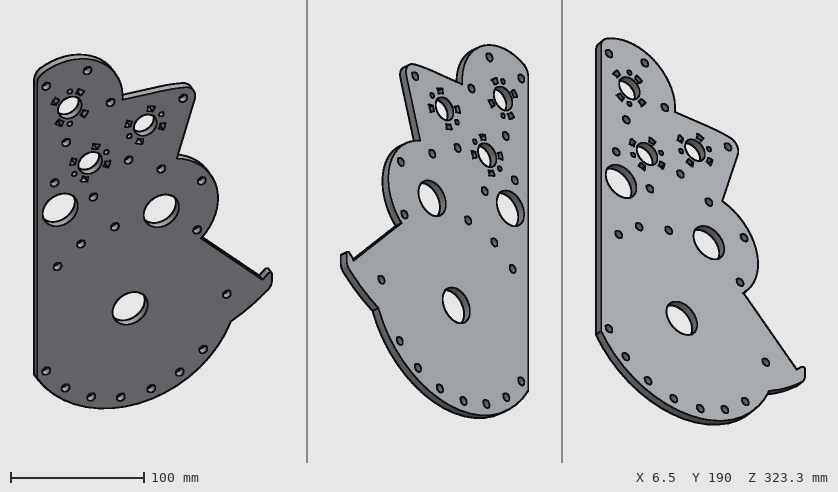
import cadquery as cq
import math

THICKNESS = 6.5
WIDTH = 190.0
HEIGHT = 323.3

BASE_RADIUS = 87.5
BASE_CENTER = (75.3, BASE_RADIUS)
SIDE_RADIUS = 46.0
SIDE_CENTER = (100.5, 169.0)
TOP_RADIUS = 42.7
TOP_CENTER = (26.5, HEIGHT - TOP_RADIUS)
TOP_CORNER_FILLET = 10.7

SHOULDER_Z = 277.0
BLEND_START_Y = 101.0
CORNER_CENTER = (118.3, 266.0)
CORNER_RADIUS = 9.7
FLANK_TILT = 16.2

NOTCH = (182.3, 86.5)
HOOK_TIP = (187.0, 91.2)
HOOK_SIDE_TOP_Z = 89.2
HOOK_SIDE_BOTTOM_Z = 84.0
HOOK_KNEE = (185.5, 75.5)
HOOK_BELLY = (172.0, 64.5)
HOOK_ROOT_ANGLE = -21.5

SHAFT_DIAMETER = 28.5
SHAFT_CENTERS = [BASE_CENTER, SIDE_CENTER, (18.7, 190.5)]

BOLT_DIAMETER = 6.5
BASE_BOLT_RADIUS = 78.5
BASE_BOLT_FIRST_ANGLE = -149.8
BASE_BOLT_STEP = 18.1
BASE_BOLT_POSITIONS = [0, 1, 2, 3, 4, 5, 6, 8]
SIDE_BOLT_RADIUS = 37.8
SIDE_BOLT_ANGLES = [-40, 30, 90, 187.5]
LOOSE_BOLTS = [
    CORNER_CENTER,
    (40.7, 310.5),
    (7.5, 304.5),
    (59.5, 277.0),
    (23.5, 250.0),
    (74.0, 221.5),
    (14.2, 216.0),
    (45.5, 195.3),
    (35.5, 155.5),
    (16.5, 140.0),
]

MOTOR_MOUNTS = [
    (TOP_CENTER, 19.0, 90, 55),
    ((87.5, 249.5), 18.5, 27, 72),
    ((43.0, 226.5), 19.0, 27, 72),
]
PIN_DIAMETER = 4.0
PIN_RADIUS = 14.5
PIN_COUNT = 2
SLOT_COUNT = 4
SLOT_INNER_RADIUS = 12.3
SLOT_OUTER_RADIUS = 16.5
SLOT_SPREAD = 21.0


def polar(center, radius, angle):
    """Point at a given radius and angle (degrees) around a center."""
    turn = math.radians(angle)
    return (center[0] + radius * math.cos(turn), center[1] + radius * math.sin(turn))


def sketch_plane():
    return cq.Workplane("YZ")


def disk(center, radius):
    return sketch_plane().center(*center).circle(radius).extrude(THICKNESS)


def main_body():
    """Base lobe, hook and shoulder, reaching into the side and top lobes."""
    run = CORNER_CENTER[0] - BLEND_START_Y
    drop = SHOULDER_Z - CORNER_CENTER[1]
    blend_radius = (run**2 + drop**2 - CORNER_RADIUS**2) / (2 * (drop - CORNER_RADIUS))
    blend_center = (BLEND_START_Y, SHOULDER_Z - blend_radius)
    blend_end_angle = math.degrees(math.atan2(blend_radius - drop, run))
    blend_middle_angle = (90 + blend_end_angle) / 2
    corner_middle_angle = (blend_end_angle - FLANK_TILT) / 2
    flank_start = polar(CORNER_CENTER, CORNER_RADIUS, -FLANK_TILT)
    flank_drop = flank_start[1] - SIDE_CENTER[1]
    flank_end = (flank_start[0] - flank_drop * math.tan(math.radians(FLANK_TILT)), SIDE_CENTER[1])

    slope_rise = SIDE_CENTER[1] - SIDE_RADIUS / 2 - NOTCH[1]
    slope_top = (NOTCH[0] - slope_rise, NOTCH[1] + slope_rise)

    hook_root = polar(BASE_CENTER, BASE_RADIUS, HOOK_ROOT_ANGLE)
    base_corner_z = BASE_CENTER[1] - math.sqrt(BASE_RADIUS**2 - BASE_CENTER[0] ** 2)

    return (
        sketch_plane()
        .moveTo(0, base_corner_z)
        .lineTo(0, TOP_CENTER[1])
        .lineTo(*TOP_CENTER)
        .lineTo(TOP_CENTER[0], SHOULDER_Z)
        .lineTo(BLEND_START_Y, SHOULDER_Z)
        .threePointArc(
            polar(blend_center, blend_radius, blend_middle_angle),
            polar(CORNER_CENTER, CORNER_RADIUS, blend_end_angle),
        )
        .threePointArc(polar(CORNER_CENTER, CORNER_RADIUS, corner_middle_angle), flank_start)
        .lineTo(*flank_end)
        .lineTo(*slope_top)
        .lineTo(*NOTCH)
        .lineTo(*HOOK_TIP)
        .tangentArcPoint((WIDTH, HOOK_SIDE_TOP_Z), relative=False)
        .lineTo(WIDTH, HOOK_SIDE_BOTTOM_Z)
        .tangentArcPoint(HOOK_KNEE, relative=False)
        .threePointArc(HOOK_BELLY, hook_root)
        .threePointArc(polar(BASE_CENTER, BASE_RADIUS, -90), (0, base_corner_z))
        .close()
        .extrude(THICKNESS)
    )


def plate():
    """Solid outline: main body with the two lobes, trimmed flat along y = 0."""
    body = main_body()
    body = body.union(disk(SIDE_CENTER, SIDE_RADIUS))
    body = body.union(disk(TOP_CENTER, TOP_RADIUS))
    envelope = sketch_plane().rect(WIDTH, HEIGHT, centered=False).extrude(THICKNESS)
    body = body.intersect(envelope).clean()

    corner_z = TOP_CENTER[1] + math.sqrt(TOP_RADIUS**2 - TOP_CENTER[0] ** 2)
    top_corner = cq.selectors.NearestToPointSelector((THICKNESS / 2, 0, corner_z))
    return body.edges("|X").edges(top_corner).fillet(TOP_CORNER_FILLET)


def round_holes(centers, diameter):
    return sketch_plane().pushPoints(centers).circle(diameter / 2).extrude(THICKNESS)


def bolt_centers():
    base_bolts = [
        polar(BASE_CENTER, BASE_BOLT_RADIUS, BASE_BOLT_FIRST_ANGLE + BASE_BOLT_STEP * position)
        for position in BASE_BOLT_POSITIONS
    ]
    side_bolts = [polar(SIDE_CENTER, SIDE_BOLT_RADIUS, angle) for angle in SIDE_BOLT_ANGLES]
    return base_bolts + side_bolts + LOOSE_BOLTS


def ring_slot(center, angle):
    """Cutter for a slot shaped as a piece of a ring, centered on the given angle."""
    start = angle - SLOT_SPREAD / 2
    end = angle + SLOT_SPREAD / 2
    return (
        sketch_plane()
        .moveTo(*polar(center, SLOT_INNER_RADIUS, start))
        .lineTo(*polar(center, SLOT_OUTER_RADIUS, start))
        .threePointArc(
            polar(center, SLOT_OUTER_RADIUS, angle),
            polar(center, SLOT_OUTER_RADIUS, end),
        )
        .lineTo(*polar(center, SLOT_INNER_RADIUS, end))
        .threePointArc(
            polar(center, SLOT_INNER_RADIUS, angle),
            polar(center, SLOT_INNER_RADIUS, start),
        )
        .close()
        .extrude(THICKNESS)
    )


def motor_mount(center, bore_diameter, pin_angle, slot_angle):
    """Cutter for a bore ringed by two pin holes and four ring slots."""
    pins = [polar(center, PIN_RADIUS, pin_angle + i * 360 / PIN_COUNT) for i in range(PIN_COUNT)]
    cutter = round_holes([center], bore_diameter).union(round_holes(pins, PIN_DIAMETER))
    for i in range(SLOT_COUNT):
        cutter = cutter.union(ring_slot(center, slot_angle + i * 360 / SLOT_COUNT))
    return cutter


result = plate()
result = result.cut(round_holes(SHAFT_CENTERS, SHAFT_DIAMETER))
result = result.cut(round_holes(bolt_centers(), BOLT_DIAMETER))
for mount in MOTOR_MOUNTS:
    result = result.cut(motor_mount(*mount))